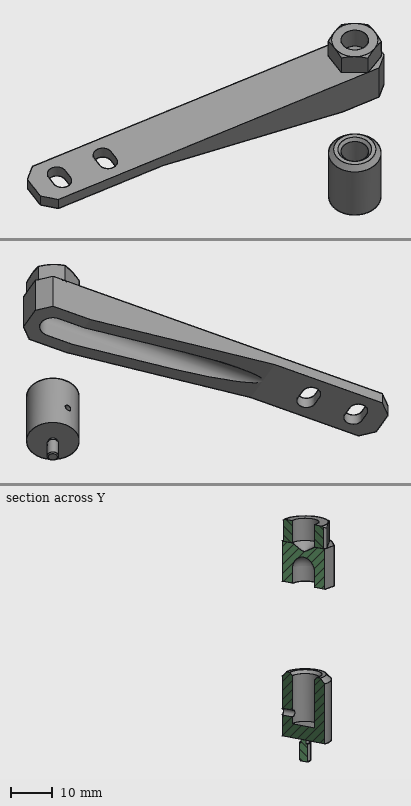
import cadquery as cq
import math


ARM_WIDTH = 12.7
ARM_LENGTH = 95.25
ARM_END = ARM_WIDTH / 2
ARM_TIP = ARM_END - ARM_LENGTH
ARM_THICK = 10.16
ARM_THIN = 3.175
THICK_LENGTH = 13.3
TAPER_LENGTH = 49.8
CORNER_CHAMFER = 3.175
SLOT_LENGTH = 7.14
SLOT_WIDTH = 4.57
SLOT_SPACING = 12.7
SLOT_TO_TIP = 7.11
GROOVE_WIDTH = 6.35

NUT_FLATS = 11.11
NUT_HEIGHT = 5.56
NUT_CORNERS = NUT_FLATS / math.cos(math.radians(30))
NUT_BEVEL_ANGLE = 30
BORE_DIAMETER = 6.6
DRILL_POINT_ANGLE = 118

BARREL_DIAMETER = 12.7
BARREL_TOP = -32.5
BARREL_HEIGHT = 16.3
BARREL_BOTTOM = BARREL_TOP - BARREL_HEIGHT
BARREL_CHAMFER = 1.27
BARREL_BORE_DEPTH = 12.7
BARREL_BORE_CHAMFER = 0.75
VENT_DIAMETER = 1.6
VENT_DROP = 10.2
VENT_ANGLE = 8.5

OVERALL_HEIGHT = 59.75
STUD_DIAMETER = 2.8
STUD_BOTTOM = NUT_HEIGHT - OVERALL_HEIGHT
NECK_DIAMETER = 2.1
NECK_LENGTH = 0.8
STUD_CHAMFER = 0.3


def make_arm():
    taper_start = ARM_END - THICK_LENGTH
    taper_end = taper_start - TAPER_LENGTH
    arm = (
        cq.Workplane("YZ")
        .moveTo(ARM_END, 0)
        .lineTo(ARM_END, -ARM_THICK)
        .lineTo(taper_start, -ARM_THICK)
        .lineTo(taper_end, -ARM_THIN)
        .lineTo(ARM_TIP, -ARM_THIN)
        .lineTo(ARM_TIP, 0)
        .close()
        .extrude(ARM_WIDTH / 2, both=True)
        .edges("|Z and (<Y or >Y)")
        .chamfer(CORNER_CHAMFER)
    )
    first_slot = ARM_TIP + SLOT_TO_TIP
    slots = (
        cq.Workplane("XY")
        .pushPoints([(0, first_slot), (0, first_slot + SLOT_SPACING)])
        .slot2D(SLOT_LENGTH, SLOT_WIDTH)
        .extrude(-ARM_THIN)
    )
    return arm.cut(slots).cut(make_groove(-taper_end)).cut(make_drill_point())


def make_groove(length):
    """Ball-nosed groove in the underside, from the nut axis out through the taper."""
    radius = GROOVE_WIDTH / 2
    ball_z = -ARM_THIN - radius
    depth_below_ball = ball_z + ARM_THICK
    ball = cq.Workplane("XY").sphere(radius).translate((0, 0, ball_z))
    end_wall = cq.Workplane("XY").workplane(offset=ball_z).circle(radius).extrude(-depth_below_ball)
    channel_round = cq.Workplane("XZ").center(0, ball_z).circle(radius).extrude(length)
    channel_walls = (
        cq.Workplane("XY")
        .box(GROOVE_WIDTH, length, depth_below_ball, centered=(True, False, False))
        .translate((0, -length, -ARM_THICK))
    )
    return channel_walls.union(channel_round).union(end_wall).union(ball)


def make_drill_point():
    """Conical bottom of the nut bore, sunk into the arm."""
    radius = BORE_DIAMETER / 2
    depth = radius / math.tan(math.radians(DRILL_POINT_ANGLE / 2))
    return cq.Workplane("XZ").lineTo(radius, 0).lineTo(0, -depth).close().revolve()


def make_nut():
    hexagon = cq.Workplane("XY").polygon(6, NUT_CORNERS).extrude(NUT_HEIGHT)
    face_radius = NUT_FLATS / 2
    corner_radius = NUT_CORNERS / 2
    bevel_drop = (corner_radius - face_radius) * math.tan(math.radians(NUT_BEVEL_ANGLE))
    bevel_envelope = (
        cq.Workplane("XZ")
        .lineTo(corner_radius, 0)
        .lineTo(corner_radius, NUT_HEIGHT - bevel_drop)
        .lineTo(face_radius, NUT_HEIGHT)
        .lineTo(0, NUT_HEIGHT)
        .close()
        .revolve()
    )
    return hexagon.intersect(bevel_envelope).faces(">Z").workplane().hole(BORE_DIAMETER)


def make_barrel():
    barrel = (
        cq.Workplane("XY", origin=(0, 0, BARREL_BOTTOM))
        .circle(BARREL_DIAMETER / 2)
        .extrude(BARREL_HEIGHT)
        .faces(">Z")
        .chamfer(BARREL_CHAMFER)
        .faces(">Z")
        .workplane()
        .hole(BORE_DIAMETER, BARREL_BORE_DEPTH)
        .faces(">Z")
        .edges("%CIRCLE")
        .edges(cq.selectors.RadiusNthSelector(0))
        .chamfer(BARREL_BORE_CHAMFER)
    )
    vent = (
        cq.Workplane("YZ", origin=(0, 0, BARREL_TOP - VENT_DROP))
        .circle(VENT_DIAMETER / 2)
        .extrude(-BARREL_DIAMETER)
        .rotate((0, 0, 0), (0, 0, 1), VENT_ANGLE)
    )
    return barrel.cut(vent)


def make_stud():
    """Stud hanging from the barrel's lower face by a short neck."""
    shank_top = BARREL_BOTTOM - NECK_LENGTH
    shank = (
        cq.Workplane("XY", origin=(0, 0, STUD_BOTTOM))
        .circle(STUD_DIAMETER / 2)
        .extrude(shank_top - STUD_BOTTOM)
        .faces("<Z")
        .chamfer(STUD_CHAMFER)
    )
    return shank.faces(">Z").workplane().circle(NECK_DIAMETER / 2).extrude(NECK_LENGTH)


arm = make_arm()
nut = make_nut()
barrel = make_barrel()
stud = make_stud()

result = cq.Compound.makeCompound([arm.val(), nut.val(), barrel.val(), stud.val()])